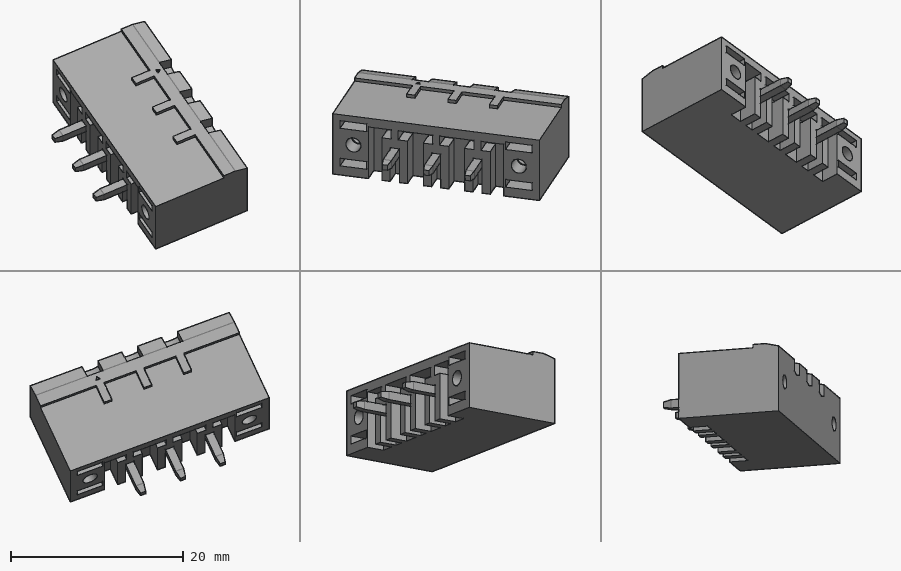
import cadquery as cq
import math


length = 25.0
depth = 12.1
body_height = 7.8
total_height = 8.2

rail_rear_slope = 1.6
rail_front = depth - 3.1
tab_front = depth - 5.5
tab_width = 1.0

pin_pitch = 5.0
pin_count = 3
pin_width = 1.0
pin_height = 3.75
pin_reach = 4.0
pin_taper = 1.0
pin_tip_width = 0.65
pin_xs = [(i - (pin_count - 1) / 2) * pin_pitch for i in range(pin_count)]

recess_width = 16.35
recess_height = 6.68
recess_depth = 2.2
post_width = 3.1
post_height = 5.5
neck_width = 0.85
pin_slot_width = 1.1
pin_slot_height = 4.35

flange_x = 10.0
hole_height = 4.1
hole_front_diameter = 1.8
hole_rear_diameter = 1.6
pocket_length = 3.2
pocket_height = 0.98
pocket_offset = 2.42

notch_width = 2.0
notch_edge_depth = 1.4
notch_sag = 0.2

mark_side = 0.5
mark_base = depth - 2.45
mark_depth = 0.2


def block(x, width, y_start, y_end, z_start, z_end):
    """Box centred on x, spanning the given Y and Z ranges."""
    box = cq.Workplane("XY").box(width, y_end - y_start, z_end - z_start, centered=(True, False, False))
    return box.translate((x, y_start, z_start))


def make_housing():
    side = [
        (0, 0),
        (depth, 0),
        (depth, body_height),
        (depth - rail_rear_slope, total_height),
        (rail_front, total_height),
        (rail_front, body_height),
        (0, body_height),
    ]
    housing = cq.Workplane("YZ").polyline(side).close().extrude(length / 2, both=True)
    for x in pin_xs:
        housing = housing.union(block(x, tab_width, tab_front, rail_front, body_height, total_height))
    return housing


def make_recess():
    recess = block(0, recess_width, 0, recess_depth, 0, recess_height)
    for x in pin_xs:
        post = block(x, post_width, 0, recess_depth, 0, post_height)
        neck = block(x, neck_width, 0, recess_depth, post_height, recess_height)
        pin_slot = block(x, pin_slot_width, 0, recess_depth, 0, pin_slot_height)
        recess = recess.cut(post.union(neck).cut(pin_slot))
    return recess


def make_pin(x):
    shank = block(
        x,
        pin_width,
        pin_taper - pin_reach,
        recess_depth,
        pin_height - pin_width / 2,
        pin_height + pin_width / 2,
    )
    tip = (
        shank.faces("<Y")
        .workplane(centerOption="CenterOfBoundBox")
        .rect(pin_width, pin_width)
        .workplane(offset=pin_taper)
        .rect(pin_tip_width, pin_tip_width)
        .loft(combine=False)
    )
    return shank.union(tip)


def make_flange_hole(x):
    axis_plane = cq.Workplane("XZ", origin=(x, 0, hole_height))
    front_bore = axis_plane.circle(hole_front_diameter / 2).extrude(-recess_depth)
    rear_bore = axis_plane.circle(hole_rear_diameter / 2).extrude(-depth)
    return front_bore.union(rear_bore)


def make_notch(x):
    half = notch_width / 2
    edge_height = total_height - notch_edge_depth
    outline = (
        cq.Workplane("XZ", origin=(x, depth - rail_rear_slope, 0))
        .moveTo(-half, total_height)
        .lineTo(-half, edge_height)
        .threePointArc((0, edge_height - notch_sag), (half, edge_height))
        .lineTo(half, total_height)
        .close()
    )
    slope = cq.Vector(0, rail_rear_slope, body_height - total_height)
    return cq.Workplane(obj=cq.Solid.extrudeLinear(outline.wire().val(), [], slope))


def make_mark(x):
    triangle = [
        (x - mark_side / 2, mark_base),
        (x + mark_side / 2, mark_base),
        (x, mark_base + mark_side * math.sqrt(3) / 2),
    ]
    return (
        cq.Workplane("XY", origin=(0, 0, total_height))
        .polyline(triangle)
        .close()
        .extrude(-mark_depth)
    )


result = make_housing().cut(make_recess())

for x in (-flange_x, flange_x):
    result = result.cut(make_flange_hole(x))
    for z in (hole_height - pocket_offset, hole_height + pocket_offset):
        pocket = block(x, pocket_length, 0, recess_depth, z - pocket_height / 2, z + pocket_height / 2)
        result = result.cut(pocket)

for x in pin_xs:
    result = result.cut(make_notch(x))
    result = result.union(make_pin(x))

result = result.cut(make_mark(pin_xs[0]))